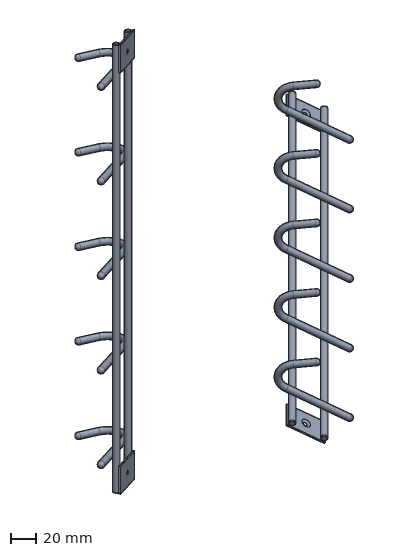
import cadquery as cq
import math

rail_length = 380.0
rail_diameter = 6.0
rail_radius = rail_diameter / 2
rail_spacing = 30.0
rail_end_chamfer = 0.8

plate_thickness = 1.5
plate_height = 23.5
plate_width = rail_spacing + rail_diameter
plate_center_x = rail_radius + plate_thickness / 2
screw_hole_diameter = 3.5
countersink_diameter = 8.0
countersink_angle = 120.0

hook_count = 5
hook_diameter = 6.0
hook_radius = hook_diameter / 2
hook_end_margin = 30.0
hook_pitch = (rail_length - 2 * hook_end_margin) / (hook_count - 1)
arm_end_y = -38.0
overall_depth_y = 79.8
bend_radius = 14.0
bend_angle = math.radians(140)
tip_length = 18.2
hook_x = -(rail_radius + hook_radius)
bend_start_y = arm_end_y + overall_depth_y - bend_radius - hook_radius


def make_rail(y):
    """Round vertical rod with chamfered ends."""
    return (
        cq.Workplane("XY", origin=(0, y, -rail_length / 2))
        .circle(rail_radius)
        .extrude(rail_length)
        .faces("<Z or >Z")
        .chamfer(rail_end_chamfer)
    )


def make_plate(z):
    """Mounting plate with one central hole countersunk on its front face."""
    return (
        cq.Workplane("XY", origin=(plate_center_x, 0, z))
        .box(plate_thickness, plate_width, plate_height)
        .faces("<X")
        .workplane(centerOption="CenterOfBoundBox")
        .cskHole(screw_hole_diameter, countersink_diameter, countersink_angle)
    )


def make_hook(z):
    """Bent rod with a straight arm, an arc, a straight tip and domed ends."""
    bend_center_x = hook_x - bend_radius

    def bend_point(angle):
        return (
            bend_center_x + bend_radius * math.cos(angle),
            bend_start_y + bend_radius * math.sin(angle),
        )

    arm_start = (hook_x, arm_end_y + hook_radius)
    bend_end = bend_point(bend_angle)
    tip_end = (
        bend_end[0] - tip_length * math.sin(bend_angle),
        bend_end[1] + tip_length * math.cos(bend_angle),
    )
    path = (
        cq.Workplane("XY", origin=(0, 0, z))
        .moveTo(*arm_start)
        .lineTo(*bend_point(0))
        .threePointArc(bend_point(bend_angle / 2), bend_end)
        .lineTo(*tip_end)
    )
    hook = cq.Workplane("XZ", origin=(*arm_start, z)).circle(hook_radius).sweep(path)
    for x, y in (arm_start, tip_end):
        dome = cq.Workplane("XY", origin=(x, y, z)).sphere(hook_radius)
        hook = hook.union(dome)
    return hook.solids()


rails = [make_rail(side * rail_spacing / 2) for side in (-1, 1)]

plate_z = (rail_length - plate_height) / 2
plates = [make_plate(side * plate_z) for side in (-1, 1)]

middle_hook = (hook_count - 1) / 2
hooks = [make_hook((index - middle_hook) * hook_pitch) for index in range(hook_count)]

result = cq.Compound.makeCompound([body.val() for body in rails + plates + hooks])